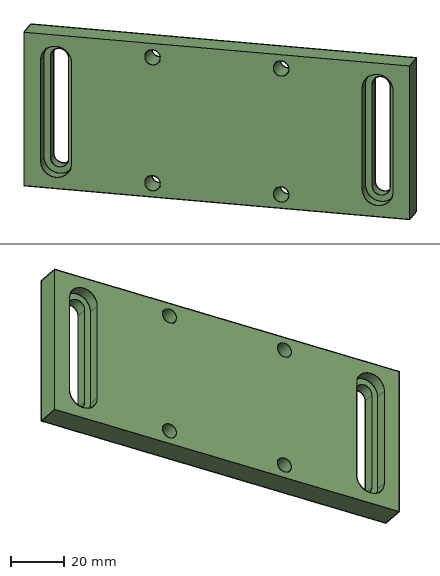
import cadquery as cq

plate_length = 150.0
plate_thickness = 10.0
plate_height = 61.0
front_y = -plate_thickness / 2

hole_diameter = 6.0
hole_spacing = 50.0

slot_spacing = 125.0
slot_centre_distance = 40.0
slot_width = 7.0
recess_width = 12.0
recess_depth = 5.0


def slot_cutter(width, depth):
    """Both upright slots, cut from the front face to the given depth."""
    return (
        cq.Workplane("XZ", origin=(0, front_y, 0))
        .rarray(slot_spacing, 1, 2, 1)
        .slot2D(slot_centre_distance + width, width, 90)
        .extrude(-depth)
    )


def hole_cutter():
    """The four round through holes."""
    return (
        cq.Workplane("XZ", origin=(0, front_y, 0))
        .rarray(hole_spacing, hole_spacing, 2, 2)
        .circle(hole_diameter / 2)
        .extrude(-plate_thickness)
    )


plate = cq.Workplane("XY").box(plate_length, plate_thickness, plate_height)
through_slots = slot_cutter(slot_width, plate_thickness)
slot_recesses = slot_cutter(recess_width, recess_depth)

result = plate.cut(through_slots).cut(slot_recesses).cut(hole_cutter())